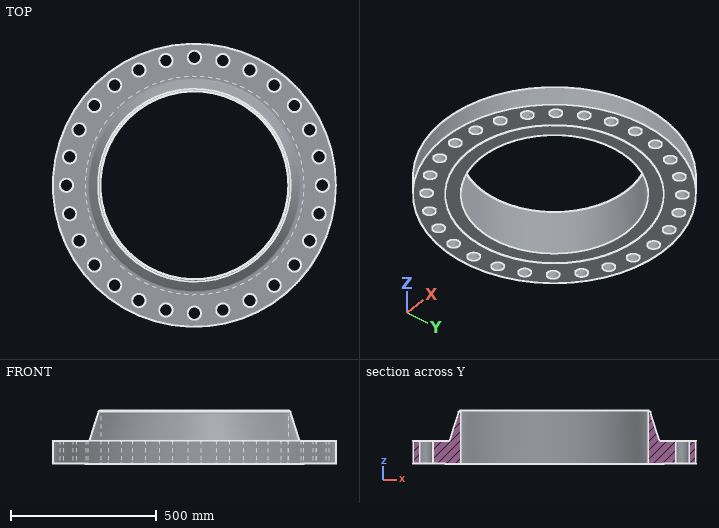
import cadquery as cq
import math

flange_diameter = 971.0
total_height = 185.0

raised_face_diameter = 750.0
raised_face_height = 2.0
flange_top = 80.0

bore_diameter = 643.0
hub_base_diameter = 722.0
hub_fillet_radius = 8.0
weld_end_diameter = 661.0
weld_land_height = 5.0
weld_bevel_angle = 37.5
weld_root_width = 2.0

bolt_hole_count = 28
bolt_hole_diameter = 45.0
bolt_circle_diameter = 877.0


def ring_body():
    """Revolve the half section of flange, hub and welding end about Z."""
    bore_radius = bore_diameter / 2
    weld_radius = weld_end_diameter / 2
    root_radius = bore_radius + weld_root_width
    bevel_depth = (weld_radius - root_radius) * math.tan(math.radians(weld_bevel_angle))
    land_top = total_height - bevel_depth
    section = [
        (bore_radius, 0),
        (raised_face_diameter / 2, 0),
        (raised_face_diameter / 2, raised_face_height),
        (flange_diameter / 2, raised_face_height),
        (flange_diameter / 2, flange_top),
        (hub_base_diameter / 2, flange_top),
        (weld_radius, land_top - weld_land_height),
        (weld_radius, land_top),
        (root_radius, total_height),
        (bore_radius, total_height),
    ]
    return cq.Workplane("XZ").polyline(section).close().revolve(360, (0, 0, 0), (0, 1, 0))


def round_hub_base(body):
    """Fillet the inside corner where the hub cone meets the flange top."""
    margin = 1.0
    reach = hub_base_diameter / 2 + margin
    corner = cq.selectors.BoxSelector(
        (-reach, -reach, flange_top - margin),
        (reach, reach, flange_top + margin),
        boundingbox=True,
    )
    return body.edges(corner).fillet(hub_fillet_radius)


def bolt_holes():
    """Through holes evenly spaced on the bolt circle, the first one on +X."""
    return (
        cq.Workplane("XY")
        .polarArray(bolt_circle_diameter / 2, 0, 360, bolt_hole_count)
        .circle(bolt_hole_diameter / 2)
        .extrude(total_height)
    )


result = round_hub_base(ring_body()).cut(bolt_holes())